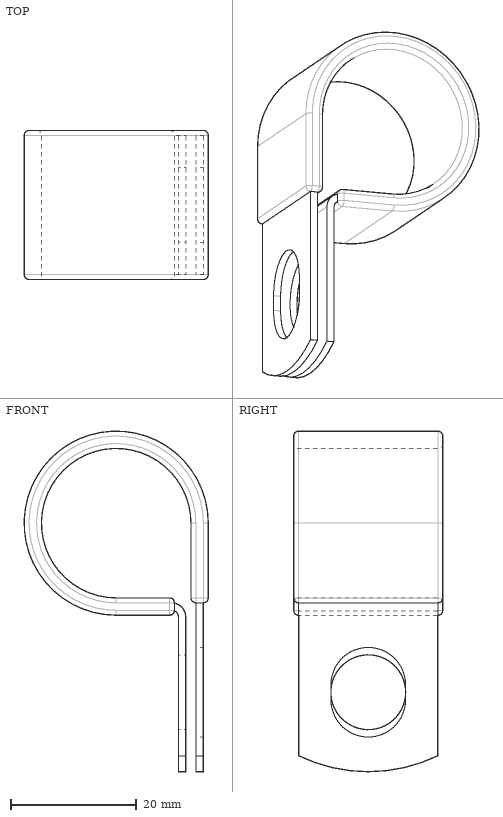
import cadquery as cq
import math


bore_radius = 11.906
cushion_width = 23.81
cover = 0.8
strap_thickness = 1.2
tail_gap = 1.6
bend_inner_radius = 1.05
arm_end_x = 9.3
tail_bottom_z = -39.675
tail_end_radius = 25.4
hole_end_distance = 12.7
hole_width = 11.9
slot_height = 14.3

cushion_thickness = strap_thickness + 2 * cover
strap_width = cushion_width - 2 * cover
strap_inner_radius = bore_radius + cover
strap_outer_radius = strap_inner_radius + strap_thickness
bend_outer_radius = bend_inner_radius + strap_thickness
bent_tail_outer_x = strap_inner_radius - tail_gap
bent_tail_inner_x = bent_tail_outer_x - strap_thickness
bend_start_x = bent_tail_outer_x - bend_outer_radius
leg_end_z = -strap_inner_radius
tail_stock_z = tail_bottom_z - strap_thickness
hole_z = tail_bottom_z + hole_end_distance


def loop_band(inner_radius, thickness, width):
    """Three-quarter ring continued by a vertical leg and a horizontal arm, centred on Y."""
    outer_radius = inner_radius + thickness
    diagonal = math.sqrt(0.5)
    return (
        cq.Workplane("XZ")
        .moveTo(outer_radius, leg_end_z)
        .lineTo(outer_radius, 0)
        .threePointArc((-outer_radius * diagonal, outer_radius * diagonal), (0, -outer_radius))
        .lineTo(arm_end_x, -outer_radius)
        .lineTo(arm_end_x, -inner_radius)
        .lineTo(0, -inner_radius)
        .threePointArc((-inner_radius * diagonal, inner_radius * diagonal), (inner_radius, 0))
        .lineTo(inner_radius, leg_end_z)
        .close()
        .extrude(width / 2, both=True)
    )


def make_cushion():
    """Rubber cushion with its rims and both of its ends rounded."""
    band = loop_band(bore_radius, cushion_thickness, cushion_width)
    leg_end = cq.selectors.NearestToPointSelector((bore_radius + cushion_thickness / 2, 0, leg_end_z))
    arm_end = cq.selectors.NearestToPointSelector((arm_end_x, 0, -bore_radius - cushion_thickness / 2))
    ends = band.faces(leg_end).add(band.faces(arm_end))
    return band.faces("<Y or >Y").add(ends).edges().fillet(cover)


def make_straight_tail():
    """Overlong tail that continues the vertical leg straight down."""
    return (
        cq.Workplane("XY")
        .box(strap_thickness, strap_width, leg_end_z - tail_stock_z, centered=(False, True, False))
        .translate((strap_inner_radius, 0, tail_stock_z))
    )


def make_bent_tail():
    """Overlong tail that turns down from the end of the horizontal arm."""
    bend_centre_z = -strap_inner_radius - bend_outer_radius
    return (
        cq.Workplane("XZ")
        .moveTo(bend_start_x, -strap_inner_radius)
        .radiusArc((bent_tail_outer_x, bend_centre_z), bend_outer_radius)
        .lineTo(bent_tail_outer_x, tail_stock_z)
        .lineTo(bent_tail_inner_x, tail_stock_z)
        .lineTo(bent_tail_inner_x, bend_centre_z)
        .radiusArc((bend_start_x, -strap_outer_radius), -bend_inner_radius)
        .close()
        .extrude(strap_width / 2, both=True)
    )


def make_tail_blank():
    """Solid in the face outline of a tail: straight sides and rounded lower end."""
    half_width = strap_width / 2
    end_sag = tail_end_radius - math.sqrt(tail_end_radius**2 - half_width**2)
    corner_z = tail_bottom_z + end_sag
    return (
        cq.Workplane("YZ")
        .moveTo(-half_width, 0)
        .lineTo(-half_width, corner_z)
        .threePointArc((0, tail_bottom_z), (half_width, corner_z))
        .lineTo(half_width, 0)
        .close()
        .extrude(strap_outer_radius)
    )


def make_hole_cutter():
    """Round bolt hole of the bent tail."""
    return cq.Workplane("YZ").center(0, hole_z).circle(hole_width / 2).extrude(strap_outer_radius)


def make_slot_cutter():
    """Vertical slot of the straight tail, centred on the bolt hole."""
    return cq.Workplane("YZ").center(0, hole_z).slot2D(slot_height, hole_width, 90).extrude(strap_outer_radius)


tail_blank = make_tail_blank()
straight_tail = make_straight_tail().intersect(tail_blank).cut(make_slot_cutter())
bent_tail = make_bent_tail().intersect(tail_blank).cut(make_hole_cutter())
strap = loop_band(strap_inner_radius, strap_thickness, strap_width).union(straight_tail)
result = make_cushion().union(strap).union(bent_tail)